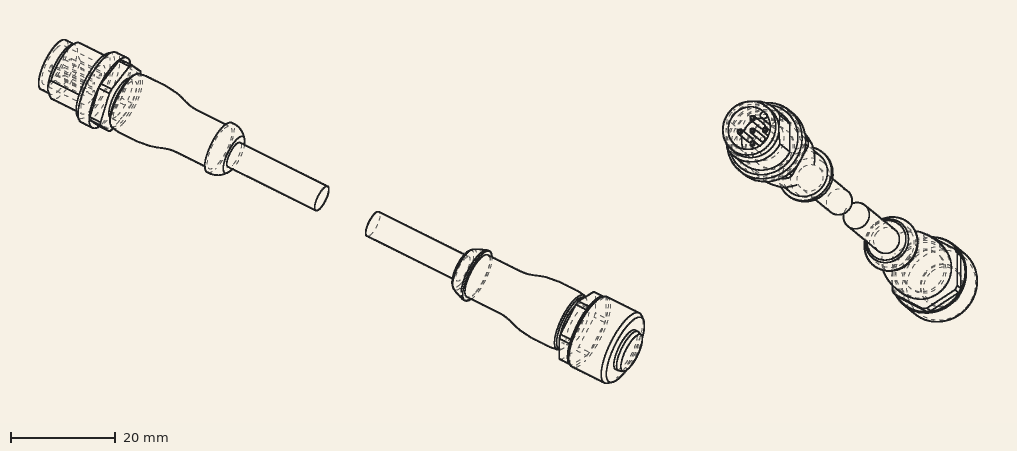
import cadquery as cq
import math

TOTAL_LENGTH = 130.5
PLUG_CABLE_END = 60.6
SOCKET_CABLE_END = 72.1

GRIP_RADIUS = 6.0
GRIP_FACE_RADIUS = 5.5
GRIP_SHOULDER_RADIUS = 5.8
GRIP_SHOULDER = 0.3
GRIP_ROUND_END = 1.7
GRIP_CYLINDER_END = 6.0
GRIP_CONE_START = 9.9
GRIP_CONE_END = 11.1
GRIP_SLEEVE_START = 13.9
BEAD_START = 21.3
GRIP_LENGTH = 24.6
SLEEVE_RADIUS = 4.5
BEAD_RADIUS = 5.3
BEAD_DOME_END_RADIUS = 4.3
BEAD_FACE_RADIUS = 3.9
BEAD_FACE_CHAMFER = 0.4
CABLE_RADIUS = 2.6
NECK_RADIUS = 4.2

HEX_ACROSS_FLATS = 13.0
HEX_CORNER_RADIUS = 7.25
HEX_LENGTH = 2.4
COLLAR_RADIUS = 7.5
COLLAR_CHAMFER_LENGTH = 0.8
COLLAR_CHAMFER_DEPTH = 0.6

NOSE_RADIUS = 5.3
NOSE_LENGTH = 2.1
BARREL_RADIUS = 6.0
BARREL_START = 2.8
BARREL_FLAT_DISTANCE = 5.3
PLUG_COLLAR_START = 9.5
PLUG_COLLAR_END = 12.8
PLUG_GRIP_START = 16.2
PLUG_BEAD_WIDTH = 0.8
PLUG_DOME_BULGE = 0.25
BORE_RADIUS = 4.2
BORE_DEPTH = 9.0
ROOT_OVERLAP = 0.5
PIN_RADIUS = 0.5
PIN_CIRCLE_RADIUS = 2.5
PIN_TIP_CHAMFER = 0.2
PIN_RECESS = 2.0
KEY_RADIUS = 0.7
KEY_CENTRE_RADIUS = 3.7
KEY_RECESS = 1.0

INSERT_RADIUS = 4.2
INSERT_CHAMFER_LENGTH = 0.8
INSERT_CHAMFER_DEPTH = 0.3
NUT_START = 1.4
NUT_END = 9.9
NUT_BACK_CHAMFER_LENGTH = 0.4
NUT_BACK_CHAMFER_DEPTH = 0.15
SOCKET_GRIP_START = 13.5
SOCKET_BEAD_WIDTH = 0.4
SOCKET_DOME_BULGE = 0.1


def add_grip_and_cable(outline, start, cable_end, bead_width, dome_bulge):
    """Continue a half section from the neck through the grip, its end bead and the cable.

    dome_bulge is how far the rounded side of the bead rises above a plain cone.
    """
    drop = GRIP_RADIUS - SLEEVE_RADIUS
    convex_length = GRIP_CONE_START - GRIP_CYLINDER_END
    cone_length = GRIP_CONE_END - GRIP_CONE_START
    concave_length = GRIP_SLEEVE_START - GRIP_CONE_END
    slope = drop / (convex_length / 2 + cone_length + concave_length / 2)
    cone_start_radius = GRIP_RADIUS - slope * convex_length / 2
    cone_end_radius = SLEEVE_RADIUS + slope * concave_length / 2
    dome_start = start + BEAD_START + bead_width
    dome_end = start + GRIP_LENGTH - BEAD_FACE_CHAMFER
    dome_middle = (dome_start + dome_end) / 2
    dome_middle_radius = (BEAD_RADIUS + BEAD_DOME_END_RADIUS) / 2 + dome_bulge
    return (
        outline.lineTo(start, NECK_RADIUS)
        .lineTo(start, GRIP_FACE_RADIUS)
        .lineTo(start + GRIP_SHOULDER, GRIP_SHOULDER_RADIUS)
        .lineTo(start + GRIP_ROUND_END, GRIP_RADIUS)
        .lineTo(start + GRIP_CYLINDER_END, GRIP_RADIUS)
        .tangentArcPoint((start + GRIP_CONE_START, cone_start_radius), relative=False)
        .lineTo(start + GRIP_CONE_END, cone_end_radius)
        .tangentArcPoint((start + GRIP_SLEEVE_START, SLEEVE_RADIUS), relative=False)
        .lineTo(start + BEAD_START, SLEEVE_RADIUS)
        .lineTo(start + BEAD_START, BEAD_RADIUS)
        .lineTo(dome_start, BEAD_RADIUS)
        .threePointArc((dome_middle, dome_middle_radius), (dome_end, BEAD_DOME_END_RADIUS))
        .lineTo(start + GRIP_LENGTH, BEAD_FACE_RADIUS)
        .lineTo(start + GRIP_LENGTH, CABLE_RADIUS)
        .lineTo(cable_end, CABLE_RADIUS)
        .lineTo(cable_end, 0)
        .close()
    )


def revolve_about_axis(outline):
    return outline.revolve(360, (0, 0, 0), (1, 0, 0))


def rod(start, end, radius, y=0, z=0):
    """Round bar along X."""
    return cq.Workplane("YZ", origin=(start, 0, 0)).center(y, z).circle(radius).extrude(end - start)


def coupling_hexagon(start, flat_angle):
    """Hexagon with rounded corners whose flats face flat_angle degrees from +Y."""
    corner_radius = HEX_ACROSS_FLATS / 2 / math.cos(math.pi / 6)
    hexagon = cq.Workplane("YZ", origin=(start, 0, 0)).polygon(6, 2 * corner_radius).extrude(HEX_LENGTH)
    hexagon = hexagon.rotate((0, 0, 0), (1, 0, 0), flat_angle - 90)
    return hexagon.intersect(rod(start, start + HEX_LENGTH, HEX_CORNER_RADIUS))


def contact_pin(y, z):
    pin = rod(PIN_RECESS, BORE_DEPTH + ROOT_OVERLAP, PIN_RADIUS, y, z)
    return pin.faces("<X").chamfer(PIN_TIP_CHAMFER)


def make_plug():
    outline = (
        cq.Workplane("XY")
        .moveTo(0, 0)
        .lineTo(0, NOSE_RADIUS)
        .lineTo(NOSE_LENGTH, NOSE_RADIUS)
        .lineTo(BARREL_START, BARREL_RADIUS)
        .lineTo(PLUG_COLLAR_START, BARREL_RADIUS)
        .lineTo(PLUG_COLLAR_START, COLLAR_RADIUS - COLLAR_CHAMFER_DEPTH)
        .lineTo(PLUG_COLLAR_START + COLLAR_CHAMFER_LENGTH, COLLAR_RADIUS)
        .lineTo(PLUG_COLLAR_END, COLLAR_RADIUS)
        .lineTo(PLUG_COLLAR_END, NECK_RADIUS)
    )
    outline = add_grip_and_cable(outline, PLUG_GRIP_START, PLUG_CABLE_END, PLUG_BEAD_WIDTH, PLUG_DOME_BULGE)
    plug = revolve_about_axis(outline)

    flat_cut = 2 * BARREL_RADIUS
    for side in (-1, 1):
        cutter = cq.Workplane("XY").box(PLUG_COLLAR_START, flat_cut, flat_cut, centered=(False, True, True))
        plug = plug.cut(cutter.translate((0, side * (BARREL_FLAT_DISTANCE + flat_cut / 2), 0)))

    plug = plug.union(coupling_hexagon(PLUG_COLLAR_END, 90))
    plug = plug.cut(rod(0, BORE_DEPTH, BORE_RADIUS))

    plug = plug.union(contact_pin(0, 0))
    for quarter in range(4):
        angle = quarter * math.pi / 2
        y = PIN_CIRCLE_RADIUS * math.cos(angle)
        z = PIN_CIRCLE_RADIUS * math.sin(angle)
        plug = plug.union(contact_pin(y, z))

    key_offset = KEY_CENTRE_RADIUS / math.sqrt(2)
    return plug.union(rod(KEY_RECESS, BORE_DEPTH + ROOT_OVERLAP, KEY_RADIUS, -key_offset, key_offset))


def make_socket():
    outline = (
        cq.Workplane("XY")
        .moveTo(0, 0)
        .lineTo(0, INSERT_RADIUS - INSERT_CHAMFER_DEPTH)
        .lineTo(INSERT_CHAMFER_LENGTH, INSERT_RADIUS)
        .lineTo(NUT_START, INSERT_RADIUS)
        .lineTo(NUT_START, COLLAR_RADIUS - COLLAR_CHAMFER_DEPTH)
        .lineTo(NUT_START + COLLAR_CHAMFER_LENGTH, COLLAR_RADIUS)
        .lineTo(NUT_END - NUT_BACK_CHAMFER_LENGTH, COLLAR_RADIUS)
        .lineTo(NUT_END, COLLAR_RADIUS - NUT_BACK_CHAMFER_DEPTH)
        .lineTo(NUT_END, NECK_RADIUS)
    )
    cable_end = TOTAL_LENGTH - SOCKET_CABLE_END
    outline = add_grip_and_cable(outline, SOCKET_GRIP_START, cable_end, SOCKET_BEAD_WIDTH, SOCKET_DOME_BULGE)
    socket = revolve_about_axis(outline)
    socket = socket.union(coupling_hexagon(NUT_END, 0))
    return socket.rotate((0, 0, 0), (0, 0, 1), 180).translate((TOTAL_LENGTH, 0, 0))


plug = make_plug()
socket = make_socket()

result = cq.Compound.makeCompound([plug.val(), socket.val()])